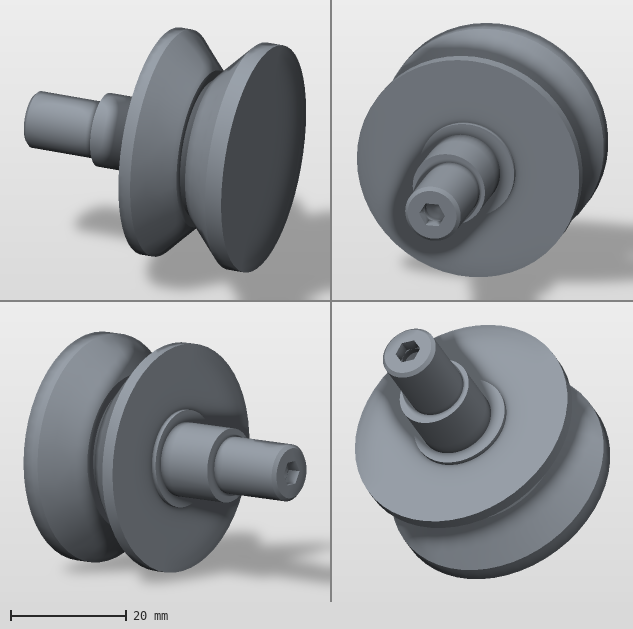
import cadquery as cq
import math

total_length = 43.0
stud_length = 13.0
eccentric_length = 10.0
washer_thickness = 0.8
left_rim_width = 2.2
right_rim_width = 3.0
flank_width = 6.2

wheel_radius = 20.0
groove_radius = 12.15
washer_radius = 8.5
eccentric_radius = 6.5
stud_radius = 5.0

eccentric_offset = 0.5
stud_chamfer = 0.6

socket_across_flats = 4.0
socket_depth = 2.3
drill_depth = 3.5
drill_tip_angle = 120.0

eccentric_start = stud_length
washer_start = eccentric_start + eccentric_length
wheel_start = washer_start + washer_thickness


def disc(start, length, radius, offset_y=0.0):
    """Solid cylinder along +X."""
    return cq.Workplane("YZ", origin=(start, offset_y, 0)).circle(radius).extrude(length)


def make_wheel():
    """V-grooved wheel with 45 degree flanks and a narrow relief at the bottom."""
    left_rim_end = wheel_start + left_rim_width
    relief_start = left_rim_end + flank_width
    right_rim_start = total_length - right_rim_width
    relief_end = right_rim_start - flank_width
    flank_bottom_radius = wheel_radius - flank_width
    profile = [
        (wheel_start, 0),
        (wheel_start, wheel_radius),
        (left_rim_end, wheel_radius),
        (relief_start, flank_bottom_radius),
        (relief_start, groove_radius),
        (relief_end, groove_radius),
        (relief_end, flank_bottom_radius),
        (right_rim_start, wheel_radius),
        (total_length, wheel_radius),
        (total_length, 0),
    ]
    return cq.Workplane("XY").polyline(profile).close().revolve(360, (0, 0, 0), (1, 0, 0))


def make_socket():
    """Hexagonal recess, corners along Y, over a deeper drilled hole with a conical tip."""
    across_corners = socket_across_flats / math.cos(math.pi / 6)
    drill_radius = socket_across_flats / 2
    tip_length = drill_radius / math.tan(math.radians(drill_tip_angle / 2))
    hexagon = cq.Workplane("YZ").polygon(6, across_corners).extrude(socket_depth)
    drill_profile = [
        (0, 0),
        (0, drill_radius),
        (drill_depth, drill_radius),
        (drill_depth + tip_length, 0),
    ]
    drill = cq.Workplane("XY").polyline(drill_profile).close().revolve(360, (0, 0, 0), (1, 0, 0))
    return hexagon.union(drill)


stud = disc(0, stud_length, stud_radius).faces("<X").chamfer(stud_chamfer)
eccentric = disc(eccentric_start, eccentric_length, eccentric_radius, eccentric_offset)
washer = disc(washer_start, washer_thickness, washer_radius)

result = stud.union(eccentric).union(washer).union(make_wheel()).cut(make_socket())